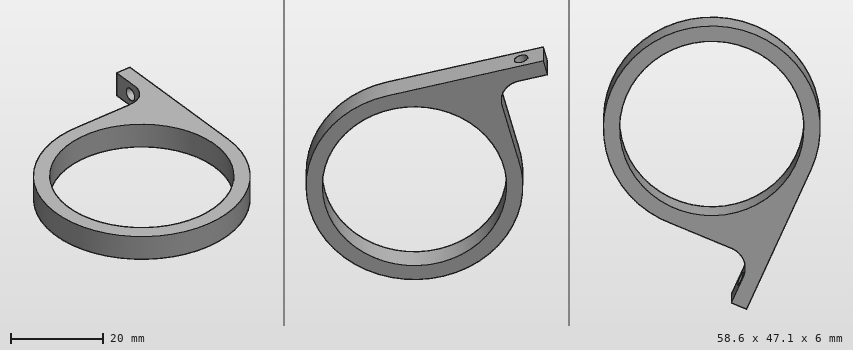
import cadquery as cq
import math

length = 58.6
thickness = 6.0
outer_diameter = 47.1
bore_diameter = 40.0
tab_width = 3.65
inner_corner_radius = 5.0
pin_hole_diameter = 3.0
pin_hole_from_tip = 5.0
wall_end_y = 0.95

outer_radius = outer_diameter / 2
tip_x = outer_radius - length
tab_inner_y = outer_radius - tab_width
wall_x = -math.sqrt(outer_radius**2 - wall_end_y**2)
corner_start_x = wall_x - inner_corner_radius
corner_end_y = tab_inner_y - inner_corner_radius


def make_body():
    """Disc with a tangent tab and a flat side wall, joined by a rounded inside corner."""
    return (
        cq.Workplane("XY")
        .moveTo(0, outer_radius)
        .lineTo(tip_x, outer_radius)
        .lineTo(tip_x, tab_inner_y)
        .lineTo(corner_start_x, tab_inner_y)
        .radiusArc((wall_x, corner_end_y), inner_corner_radius)
        .lineTo(wall_x, wall_end_y)
        .threePointArc((0, -outer_radius), (outer_radius, 0))
        .radiusArc((0, outer_radius), -outer_radius)
        .close()
        .extrude(thickness)
    )


def make_bore():
    return cq.Workplane("XY").circle(bore_diameter / 2).extrude(thickness)


def make_pin_hole():
    """Cross hole through the tab, along Y at mid thickness."""
    return (
        cq.Workplane("XZ", origin=(0, outer_radius, 0))
        .center(tip_x + pin_hole_from_tip, thickness / 2)
        .circle(pin_hole_diameter / 2)
        .extrude(outer_radius)
    )


result = make_body().cut(make_bore()).cut(make_pin_hole())